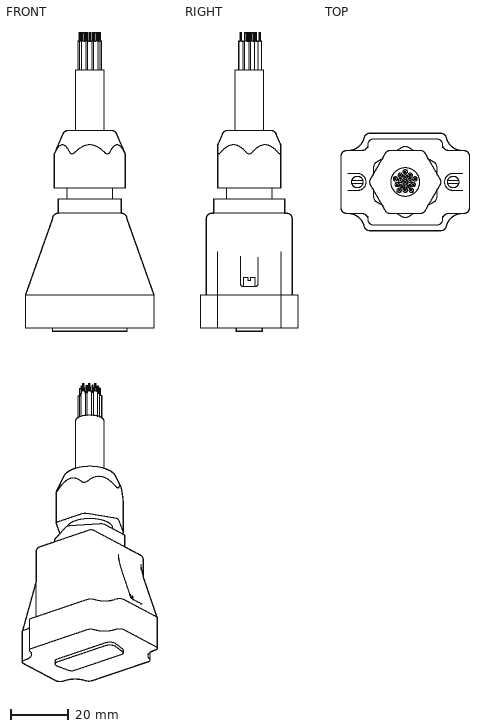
import cadquery as cq
import math

seal_height = 1.1
flange_height = 11.6
housing_height = 28.5
locknut_height = 5.0
thread_height = 3.75
gland_height = 20.1
cable_height = 21.1
core_height = 10.0
overall_height = 104.1

flange_bottom = seal_height
flange_top = flange_bottom + flange_height
housing_top = flange_top + housing_height
locknut_top = housing_top + locknut_height
gland_bottom = locknut_top + thread_height
gland_top = gland_bottom + gland_height
cable_top = gland_top + cable_height
core_top = cable_top + core_height

overall_length = 44.8
overall_width = 34.0
corner_radius = 2.0
ear_end = overall_length / 2
ear_side = 11.0
housing_length = 26.0
housing_width = 30.0
housing_side = housing_length / 2

shoulder_x = 12.4
neck_x = 19.9
shoulder_y = overall_width / 2 - corner_radius

slope_top = housing_top - corner_radius
slope_run = ear_end - housing_side
slope_rise = slope_top - flange_top
ear_edge_radius = 2.0
ear_root_radius = housing_width / 2 - corner_radius - ear_side

screw_x = 16.7
pocket_radius = 3.0
pocket_floor = 15.7
pocket_edge_radius = 1.0
pocket_floor_radius = 0.7
screw_diameter = 4.0
screw_head_height = 3.0
screw_slot_width = 1.0
screw_slot_depth = 1.0

seal_length = 27.0
seal_width = 9.2
seal_side_angle = 10.0
seal_wide_corner_radius = 2.4
seal_narrow_corner_radius = 1.7

hex_sides = 6
hex_flats = 22.0
hex_corner_radius = 2.0
gland_turn = 0.0
locknut_turn = 180.0 / hex_sides
thread_diameter = 16.0
gland_cone_tip_radius = 8.84
gland_cone_base_radius = 12.6
gland_cone_height = 8.7
gland_rim_radius = 2.0

cable_diameter = 10.0
core_diameter = 1.5
strand_diameter = 0.5
core_count = 5
outer_core_circle = 3.6
middle_core_circle = outer_core_circle * math.cos(math.pi / core_count)
inner_core_circle = 1.75


def cylinder(diameter, bottom, top, x=0.0, y=0.0):
    """Upright cylinder between two heights."""
    return cq.Workplane("XY", origin=(x, y, bottom)).circle(diameter / 2).extrude(top - bottom)


def both_sides(shape):
    """Join a shape on the +X side with its mirror image on the -X side."""
    return shape.union(shape.mirror("YZ"))


def make_seal():
    """D-shaped plate, narrower on the -Y side, with rounded corners."""
    taper = seal_width * math.tan(math.radians(seal_side_angle))
    wide = seal_length / 2
    narrow = wide - taper
    plate = (
        cq.Workplane("XY")
        .moveTo(-wide, seal_width / 2)
        .lineTo(wide, seal_width / 2)
        .lineTo(narrow, -seal_width / 2)
        .lineTo(-narrow, -seal_width / 2)
        .close()
        .extrude(seal_height)
    )
    plate = plate.edges("|Z and >Y").fillet(seal_wide_corner_radius)
    return plate.edges("|Z and <Y").fillet(seal_narrow_corner_radius)


def make_flange():
    """Flange plate; each quarter has a shoulder arc tangent to a neck arc."""
    dx = neck_x - shoulder_x
    dy = shoulder_y - ear_side
    neck_radius = (dx**2 + dy**2 - corner_radius**2) / (2 * (corner_radius + dy))
    neck_center_y = ear_side + neck_radius
    share = corner_radius / (corner_radius + neck_radius)
    touch_x = shoulder_x + dx * share
    touch_y = shoulder_y + (neck_center_y - shoulder_y) * share

    plate = (
        cq.Workplane("XY", origin=(0, 0, flange_bottom))
        .lineTo(ear_end, 0)
        .lineTo(ear_end, ear_side - corner_radius)
        .radiusArc((ear_end - corner_radius, ear_side), -corner_radius)
        .lineTo(neck_x, ear_side)
        .radiusArc((touch_x, touch_y), neck_radius)
        .radiusArc((shoulder_x, overall_width / 2), -corner_radius)
        .lineTo(0, overall_width / 2)
        .close()
        .extrude(flange_height)
    )
    half = plate.union(plate.mirror("XZ"))
    return both_sides(half)


def make_housing():
    """Box with rounded upright corners and a rounded top rim."""
    box = cq.Workplane("XY", origin=(0, 0, flange_top))
    box = box.rect(housing_length, housing_width).extrude(housing_height)
    return box.edges("|Z or >Z").fillet(corner_radius)


def make_ear_blank():
    """Sloping ear on the +X side, flared into the housing wall at its root."""
    root_x = housing_side + ear_root_radius
    root_y = ear_side + ear_root_radius
    blank_y = root_y + corner_radius
    blank_x = housing_side - corner_radius
    blank_top = slope_top + corner_radius * slope_rise / slope_run

    half_plan = (
        cq.Workplane("XY", origin=(0, 0, flange_top))
        .moveTo(blank_x, 0)
        .lineTo(ear_end, 0)
        .lineTo(ear_end, ear_side)
        .lineTo(root_x, ear_side)
        .radiusArc((housing_side, root_y), ear_root_radius)
        .lineTo(housing_side, blank_y)
        .lineTo(blank_x, blank_y)
        .close()
        .extrude(blank_top - flange_top)
    )
    profile = (
        cq.Workplane("XZ")
        .moveTo(blank_x, flange_top)
        .lineTo(ear_end, flange_top)
        .lineTo(blank_x, blank_top)
        .close()
        .extrude(blank_y, both=True)
    )
    half = half_plan.intersect(profile)
    half = half.edges("%ELLIPSE").fillet(ear_edge_radius)
    kept = cq.Workplane("XY", origin=(0, 0, flange_top))
    kept = kept.rect(2 * ear_end, 2 * root_y).extrude(slope_rise)
    half = half.intersect(kept)
    return half.union(half.mirror("XZ"))


def make_ear():
    """Ear with its screw pocket; the pocket has rounded edges where it meets the slope."""
    depth = housing_top - pocket_floor
    mouth = cq.Workplane("XY", origin=(screw_x, -pocket_radius, pocket_floor))
    mouth = mouth.rect(ear_end, 2 * pocket_radius, centered=False).extrude(depth)
    pocket = mouth.union(cylinder(2 * pocket_radius, pocket_floor, housing_top, screw_x))
    pocket = pocket.faces("<Z").edges().fillet(pocket_floor_radius)
    ear = make_ear_blank().cut(pocket)
    slope = cq.selectors.ParallelDirSelector(cq.Vector(slope_rise, 0, slope_run))
    reach = pocket_radius + pocket_edge_radius
    pocket_zone = cq.selectors.BoxSelector(
        (housing_side, -reach, flange_top + pocket_edge_radius),
        (ear_end, reach, slope_top - pocket_edge_radius),
    )
    return ear.faces(slope).edges(pocket_zone).fillet(pocket_edge_radius)


def make_screw():
    """Slotted screw head standing on the pocket floor."""
    screw_top = pocket_floor + screw_head_height
    head = cylinder(screw_diameter, pocket_floor, screw_top, screw_x)
    slot = cq.Workplane("XY", origin=(screw_x, 0, screw_top))
    slot = slot.rect(screw_diameter, screw_slot_width).extrude(-screw_slot_depth)
    return head.cut(slot)


def make_hex(bottom, height, turn):
    """Hexagonal prism with rounded corners; a corner lies on X when turn is 0."""
    across_corners = hex_flats / math.cos(math.pi / hex_sides)
    prism = cq.Workplane("XY").polygon(hex_sides, across_corners).extrude(height)
    prism = prism.edges("|Z").fillet(hex_corner_radius)
    return prism.rotate((0, 0, 0), (0, 0, 1), turn).translate((0, 0, bottom))


def make_gland_nut():
    """Hexagonal nut whose top is turned down to a cone with a rounded rim."""
    cone_base = gland_top - gland_cone_height
    body = cylinder(2 * gland_cone_base_radius, gland_bottom, cone_base)
    cone = (
        cq.Workplane("XZ")
        .moveTo(0, cone_base)
        .lineTo(gland_cone_base_radius, cone_base)
        .lineTo(gland_cone_tip_radius, gland_top)
        .lineTo(0, gland_top)
        .close()
        .revolve(360, (0, 0, 0), (0, 1, 0))
        .faces(">Z")
        .edges()
        .fillet(gland_rim_radius)
    )
    return make_hex(gland_bottom, gland_height, gland_turn).intersect(body.union(cone))


def core_positions():
    """Five-pointed arrangement of cores around one central core."""
    spots = [(0.0, 0.0)]
    step = 2 * math.pi / core_count
    rings = (
        (outer_core_circle, math.pi / 2),
        (middle_core_circle, math.pi / 2 + step / 2),
        (inner_core_circle, math.pi / 2),
    )
    for radius, start in rings:
        for index in range(core_count):
            angle = start + index * step
            spots.append((radius * math.cos(angle), radius * math.sin(angle)))
    return spots


def make_cable():
    """Sheath, insulated cores and bare strands, each standing on the one before."""
    cable = cylinder(cable_diameter, gland_top, cable_top)
    spots = core_positions()
    cores = cq.Workplane("XY", origin=(0, 0, cable_top)).pushPoints(spots)
    cores = cores.circle(core_diameter / 2).extrude(core_height)
    strands = cq.Workplane("XY", origin=(0, 0, core_top)).pushPoints(spots)
    strands = strands.circle(strand_diameter / 2).extrude(overall_height - core_top)
    return cable.union(cores).union(strands)


result = (
    make_seal()
    .union(make_flange())
    .union(make_housing())
    .union(both_sides(make_ear()))
    .union(both_sides(make_screw()))
    .union(make_hex(housing_top, locknut_height, locknut_turn))
    .union(cylinder(thread_diameter, locknut_top, gland_bottom))
    .union(make_gland_nut())
    .union(make_cable())
)